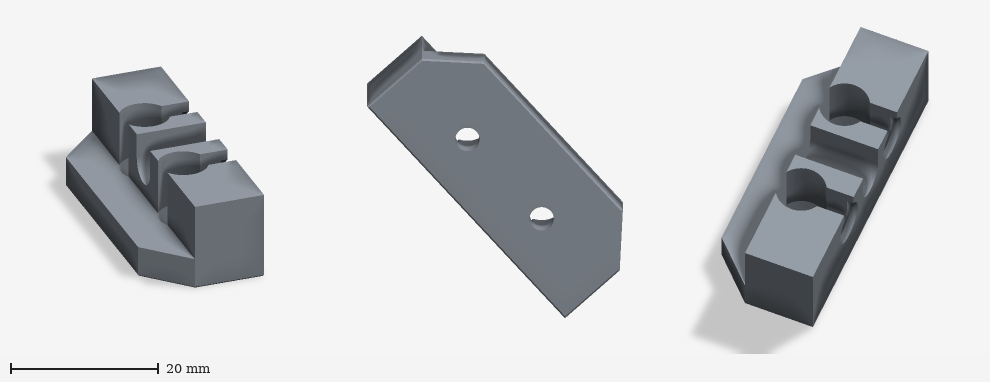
import cadquery as cq

length = 40.0
depth = 16.0
height = 12.5
wall_depth = 10.0
ledge_height = 4.5
corner_cut = 6.0
bottom_chamfer = 0.25

channel_width = 5.2
channel_floor = 6.3

screw_offset = 7.5
screw_from_back = 7.05
screw_hole_diameter = 3.3
head_diameter = 6.9
sink_depth = (head_diameter - screw_hole_diameter) / 2

slot_width = 3.3
slot_floor = 6.8
recess_diameter = 6.0
recess_depth = 1.0

back_y = depth / 2
front_y = -depth / 2
wall_front_y = back_y - wall_depth
screw_y = back_y - screw_from_back


def cylinder_along_y(x, z, diameter, start_y, end_y):
    """Horizontal cylinder running from start_y towards +Y."""
    circle = cq.Solid.makeCylinder(
        diameter / 2, end_y - start_y, cq.Vector(x, start_y, z), cq.Vector(0, 1, 0)
    )
    return cq.Workplane(obj=circle)


def open_slot(x, width, floor_z, start_y, end_y):
    """Slot along Y, open at the top, with a half-round floor."""
    axis_z = floor_z + width / 2
    straight = cq.Workplane("XY").box(
        width, end_y - start_y, height - axis_z, centered=(True, False, False)
    ).translate((x, start_y, axis_z))
    return straight.union(cylinder_along_y(x, axis_z, width, start_y, end_y))


def screw_cutter(x):
    """Through hole, countersink in the ledge and head clearance above it."""
    sink_bottom = ledge_height - sink_depth
    profile = [
        (0, 0),
        (screw_hole_diameter / 2, 0),
        (screw_hole_diameter / 2, sink_bottom),
        (head_diameter / 2, ledge_height),
        (head_diameter / 2, height),
        (0, height),
    ]
    cutter = cq.Workplane("XZ").polyline(profile).close().revolve(360, (0, 0), (0, 1))
    return cutter.translate((x, screw_y, 0))


outline = [
    (-length / 2, back_y),
    (-length / 2, wall_front_y),
    (-length / 2 + corner_cut, front_y),
    (length / 2 - corner_cut, front_y),
    (length / 2, wall_front_y),
    (length / 2, back_y),
]
base = cq.Workplane("XY").polyline(outline).close().extrude(ledge_height)
base = base.faces("<Z").edges().chamfer(bottom_chamfer)

wall = cq.Workplane("XY").box(
    length, wall_depth, height - ledge_height, centered=(True, False, False)
).translate((0, wall_front_y, ledge_height))
body = base.union(wall).clean()

body = body.cut(open_slot(0, channel_width, channel_floor, wall_front_y, back_y))

slot_axis_z = slot_floor + slot_width / 2
for side in (-1, 1):
    x = side * screw_offset
    body = body.cut(screw_cutter(x))
    body = body.cut(open_slot(x, slot_width, slot_floor, screw_y, back_y))
    body = body.cut(
        cylinder_along_y(x, slot_axis_z, recess_diameter, back_y - recess_depth, back_y)
    )

result = body